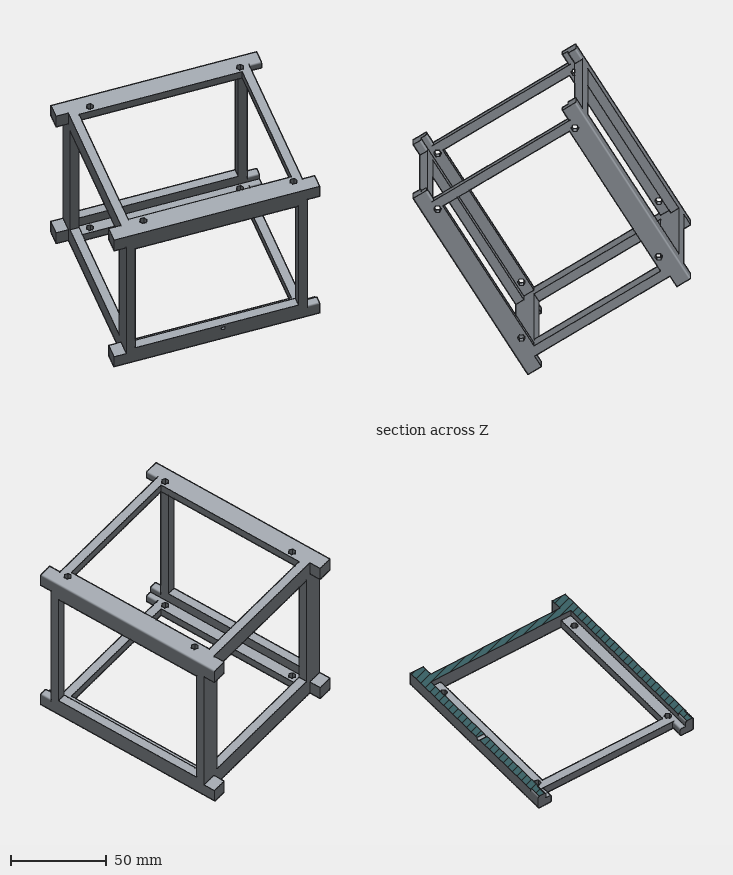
import cadquery as cq
side = 100.0
rail_length = 113.5
rail_width = 8.5
rail_overhang = (rail_length - side) / 2

wall = 5.0
border = 11.2
window = side - 2 * border
cavity = side - 2 * wall

edge_radius = 1.0

screw_hole_corners = 4.0
screw_x = 42.1
screw_front_y = -37.9
screw_back_y = 45.0

pin_diameter = 2.0
pin_y = (screw_front_y + screw_back_y) / 2
pin_z = -41.5


def make_frame():
    """Hollow cube with a window in every wall except the back one."""
    frame = cq.Workplane("XY").box(side, side, side)
    frame = frame.cut(cq.Workplane("XY").box(cavity, cavity, cavity))

    frame = frame.cut(cq.Workplane("XY").box(window, cavity, side))
    frame = frame.cut(cq.Workplane("XY").box(side, cavity, window))

    front = cq.Workplane("XY").box(window, wall, window)
    return frame.cut(front.translate((0, (wall - side) / 2, 0)))


def add_rail_ends(body):
    """Add a square rail end at every corner of the front and back walls."""
    centre = (side - rail_width) / 2
    end_y = (side + rail_overhang) / 2
    for x in (-centre, centre):
        for y in (-end_y, end_y):
            for z in (-centre, centre):
                end = cq.Workplane("XY").box(rail_width, rail_overhang, rail_width)
                body = body.union(end.translate((x, y, z)))
    return body.clean()


def open_back(body):
    """Run the cavity out through the back, which leaves the back rail ends L-shaped."""
    opening = cq.Workplane("XY").box(cavity, rail_length / 2, cavity, centered=(True, False, True))
    return body.cut(opening)


def edges_at(body, x, z, start_y):
    """Select the Y-parallel edges on the line (x, z) with their middle behind start_y."""
    reach = 0.1
    near_line = cq.selectors.BoxSelector(
        (x - reach, start_y, z - reach), (x + reach, rail_length / 2, z + reach)
    )
    return body.edges("|Y").edges(near_line)


def round_rails(body):
    """Round the long outer edges, except the +X top one, then the leg tips of the back rail ends."""
    outer = side / 2
    tip = outer - rail_width
    inner = cavity / 2
    leg_tips = [(tip, outer), (tip, inner), (outer, tip), (inner, tip)]
    for x, z in [(-outer, outer), (-outer, -outer), (outer, -outer)]:
        body = edges_at(body, x, z, -outer).fillet(edge_radius)
    for sx in (-1, 1):
        for sz in (-1, 1):
            for x, z in leg_tips:
                body = edges_at(body, sx * x, sz * z, outer).fillet(edge_radius)
    return body


def cut_screw_holes(body):
    """Drill the four screw holes from the top wall down through the bottom wall."""
    positions = [(y, -x) for x in (-screw_x, screw_x) for y in (screw_front_y, screw_back_y)]
    turned = cq.Workplane("XY").transformed(rotate=(0, 0, 90))
    drills = turned.pushPoints(positions).polygon(6, screw_hole_corners)
    return body.cut(drills.extrude(side / 2, both=True))


def cut_pin_hole(body):
    """Drill the small hole through the +X wall."""
    drill = cq.Workplane("YZ").center(pin_y, pin_z).circle(pin_diameter / 2)
    return body.cut(drill.extrude(side / 2))


frame = round_rails(open_back(add_rail_ends(make_frame())))
result = cut_pin_hole(cut_screw_holes(frame))